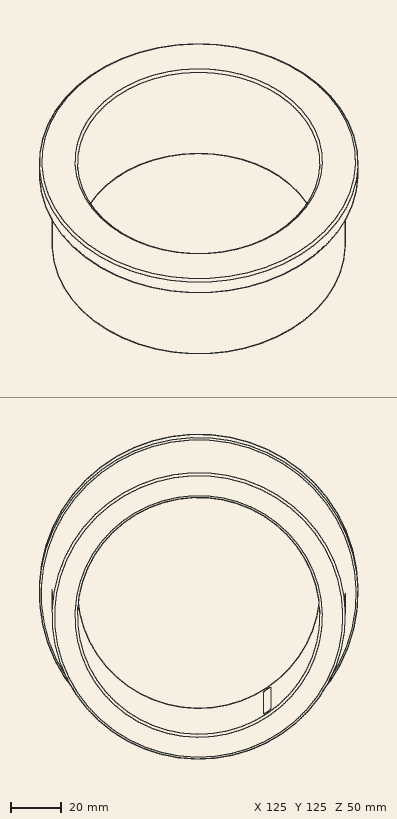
import cadquery as cq

flange_diameter = 125.0
body_diameter = 115.0
bore_diameter = 95.0
height = 50.0
flange_thickness = 8.0
edge_chamfer = 1.0
flange_lower_chamfer = 0.8
neck_fillet = 3.8

groove_radius = 1.8
groove_straight_length = 38.5
groove_bottom = (height - groove_straight_length) / 2

flange_radius = flange_diameter / 2
body_radius = body_diameter / 2
bore_radius = bore_diameter / 2
flange_bottom = height - flange_thickness


def flanged_bushing():
    """Revolve the chamfered wall section about Z."""
    fillet_center_x = body_radius + neck_fillet
    fillet_center_z = flange_bottom - neck_fillet
    fillet_mid_offset = neck_fillet / 2**0.5
    fillet_mid = (fillet_center_x - fillet_mid_offset, fillet_center_z + fillet_mid_offset)
    section = (
        cq.Workplane("XZ")
        .moveTo(bore_radius + edge_chamfer, 0)
        .lineTo(body_radius - edge_chamfer, 0)
        .lineTo(body_radius, edge_chamfer)
        .lineTo(body_radius, fillet_center_z)
        .threePointArc(fillet_mid, (fillet_center_x, flange_bottom))
        .lineTo(flange_radius - flange_lower_chamfer, flange_bottom)
        .lineTo(flange_radius, flange_bottom + flange_lower_chamfer)
        .lineTo(flange_radius, height - edge_chamfer)
        .lineTo(flange_radius - edge_chamfer, height)
        .lineTo(bore_radius + edge_chamfer, height)
        .lineTo(bore_radius, height - edge_chamfer)
        .lineTo(bore_radius, edge_chamfer)
        .close()
    )
    return section.revolve(360, (0, 0, 0), (0, 1, 0))


def groove_cutter():
    """Round-ended vertical rod centered on the bore wall."""
    rod_start = cq.Workplane("XY").workplane(offset=groove_bottom).center(bore_radius, 0)
    rod = rod_start.circle(groove_radius).extrude(groove_straight_length)
    for end_z in (groove_bottom, groove_bottom + groove_straight_length):
        ball = cq.Workplane("XY").sphere(groove_radius)
        rod = rod.union(ball.translate((bore_radius, 0, end_z)))
    return rod


result = flanged_bushing().cut(groove_cutter())